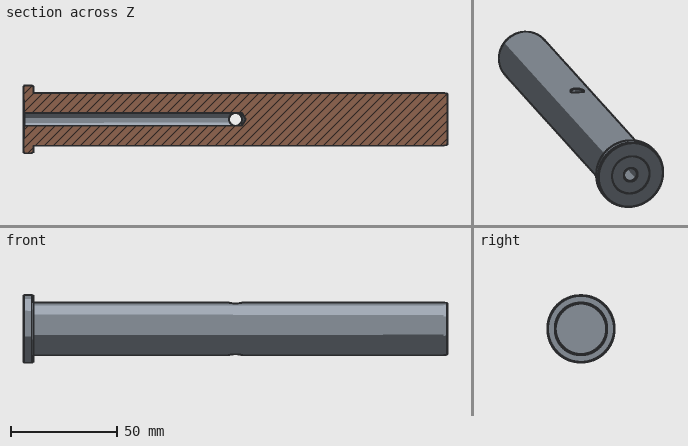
import cadquery as cq

length = 200.0
head_diameter = 32.0
head_thickness = 4.8
head_front_chamfer = 0.5
head_back_chamfer_length = 0.8
head_back_chamfer_depth = 0.5
shaft_diameter = 25.0
neck_fillet = 0.2
end_taper_length = 2.0
end_taper_depth = 0.2
end_chamfer = 0.5

passage_diameter = 6.0
bore_mouth_chamfer = 0.5
cross_hole_mouth_chamfer = 0.4
drill_tip_length = 1.8

recess_diameter = 18.5
recess_depth = 0.25

head_face_x = -length / 2
end_face_x = length / 2
cross_hole_x = (head_face_x + end_face_x) / 2
passage_radius = passage_diameter / 2
shaft_radius = shaft_diameter / 2


def make_pin_body():
    """Revolve the half profile of the head and the shaft about the X axis."""
    head_radius = head_diameter / 2
    head_back_x = head_face_x + head_thickness
    tip_radius = shaft_radius - end_taper_depth
    profile = (
        cq.Workplane("XY")
        .moveTo(head_face_x, 0)
        .lineTo(head_face_x, head_radius - head_front_chamfer)
        .lineTo(head_face_x + head_front_chamfer, head_radius)
        .lineTo(head_back_x - head_back_chamfer_length, head_radius)
        .lineTo(head_back_x, head_radius - head_back_chamfer_depth)
        .lineTo(head_back_x, shaft_radius + neck_fillet)
        .radiusArc((head_back_x + neck_fillet, shaft_radius), -neck_fillet)
        .lineTo(end_face_x - end_taper_length, shaft_radius)
        .lineTo(end_face_x - end_chamfer, tip_radius)
        .lineTo(end_face_x, tip_radius - end_chamfer)
        .lineTo(end_face_x, 0)
        .close()
    )
    return profile.revolve(360, (0, 0, 0), (1, 0, 0))


def make_face_recess():
    """Disc with a 45 degree wall that sinks the middle of the head face."""
    mouth = cq.Workplane("YZ", origin=(head_face_x, 0, 0)).circle(recess_diameter / 2)
    return mouth.extrude(recess_depth, taper=45)


def make_axial_bore():
    """Blind bore with a chamfered mouth on the recess floor and a drill-point end past the cross hole."""
    mouth_x = head_face_x + recess_depth
    bore_end_x = cross_hole_x + passage_radius
    half_profile = (
        cq.Workplane("XZ")
        .moveTo(mouth_x, 0)
        .lineTo(mouth_x, passage_radius + bore_mouth_chamfer)
        .lineTo(mouth_x + bore_mouth_chamfer, passage_radius)
        .lineTo(bore_end_x, passage_radius)
        .lineTo(bore_end_x + drill_tip_length, 0)
        .close()
    )
    return half_profile.revolve(360, (0, 0, 0), (1, 0, 0))


def cut_cross_hole(body):
    """Drill the shaft through along Z and chamfer both curved mouths."""
    start = cq.Workplane("XY", origin=(cross_hole_x, 0, -shaft_radius))
    drilled = body.cut(start.circle(passage_radius).extrude(shaft_diameter))
    mouth_zone = cq.selectors.BoxSelector(
        (cross_hole_x - shaft_radius, -shaft_radius, -shaft_diameter),
        (cross_hole_x + shaft_radius, shaft_radius, shaft_diameter),
    )
    mouths = drilled.edges(mouth_zone)
    return mouths.chamfer(cross_hole_mouth_chamfer)


pin_body = make_pin_body().cut(make_face_recess())
result = cut_cross_hole(pin_body).cut(make_axial_bore())